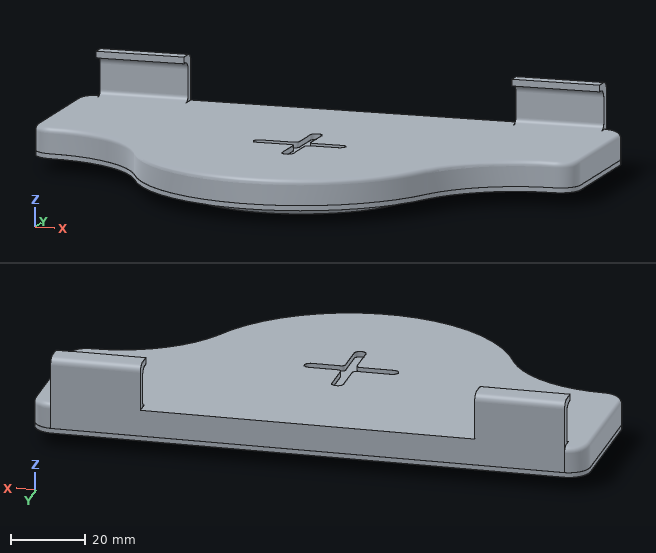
import cadquery as cq
import math

WIDTH = 154.0
LOBE_RADIUS = 45.3
BACK_Y = 45.7
LOBE_JOINT_Y = -17.9
BACK_CORNER_RADIUS = 6.0
SHOULDER_Y = 0.3
SHOULDER_RADIUS = 5.7

SHEET_THICKNESS = 1.4
TRAY_TOP = 8.8
TOP_FILLET = 1.8

HOOK_WIDTH = 25.0
HOOK_TOP = 21.7
HOOK_REACH = 6.0
HOOK_WALL = 2.5
LIP_THICKNESS = 1.8
BEND_OUTER_RADIUS = 2.3
BEND_INNER_RADIUS = 2.3
ROOT_FILLET = 1.7

SLOT_WIDTH = 3.2
SLOT_LEFT = -13.7
SLOT_RIGHT = 12.3
SLOT_HALF_LENGTH_Y = 13.9
SLOT_DEPTH = 1.5
SLOT_CORNER_FILLET = 1.1

FOOT_DIAMETER = 68.0
FOOT_HEIGHT = 3.7
FOOT_FILLET = 1.8

CENTRE_Y = (BACK_Y - LOBE_RADIUS) / 2
HALF_WIDTH = WIDTH / 2
FLANK_X = HALF_WIDTH - SHOULDER_RADIUS
LOBE_JOINT_X = math.sqrt(LOBE_RADIUS**2 - LOBE_JOINT_Y**2)
FLANK_RUN = FLANK_X - LOBE_JOINT_X
FLANK_DROP = SHOULDER_Y - LOBE_JOINT_Y
FLANK_RADIUS = (FLANK_RUN**2 + FLANK_DROP**2) / (2 * FLANK_DROP)
FLANK_CENTRE_Y = SHOULDER_Y - FLANK_RADIUS


def point_on_arc(centre, radius, angle):
    """Point at an angle in radians on a circle."""
    return (centre[0] + radius * math.cos(angle), centre[1] + radius * math.sin(angle))


def mirrored(point):
    """Point mirrored to the other side of the tray."""
    return (-point[0], point[1])


def tray_outline(height):
    """Solid of the tray outline, standing on Z = 0."""
    flank_centre = (FLANK_X, FLANK_CENTRE_Y)
    lobe_joint = (LOBE_JOINT_X, LOBE_JOINT_Y)
    flank_sweep = math.asin(FLANK_RUN / FLANK_RADIUS)
    flank_middle_angle = math.pi / 2 + flank_sweep / 2
    flank_middle = point_on_arc(flank_centre, FLANK_RADIUS, flank_middle_angle)
    flank_top = (FLANK_X, SHOULDER_Y)
    shoulder_centre = (FLANK_X, SHOULDER_Y + SHOULDER_RADIUS)
    shoulder_middle = point_on_arc(shoulder_centre, SHOULDER_RADIUS, -math.pi / 4)
    side_start = (HALF_WIDTH, SHOULDER_Y + SHOULDER_RADIUS)
    outline = (
        cq.Workplane("XY")
        .moveTo(*mirrored(lobe_joint))
        .threePointArc((0, -LOBE_RADIUS), lobe_joint)
        .threePointArc(flank_middle, flank_top)
        .threePointArc(shoulder_middle, side_start)
        .lineTo(HALF_WIDTH, BACK_Y)
        .lineTo(-HALF_WIDTH, BACK_Y)
        .lineTo(*mirrored(side_start))
        .threePointArc(mirrored(shoulder_middle), mirrored(flank_top))
        .threePointArc(mirrored(flank_middle), mirrored(lobe_joint))
        .close()
        .extrude(height)
    )
    return outline.edges("|Z and >Y").fillet(BACK_CORNER_RADIUS)


def hook(left_x):
    """Hook with a forward lip, standing on the tray top with its left side at left_x."""
    wall_y = BACK_Y - HOOK_WALL
    lip_y = BACK_Y - HOOK_REACH
    lip_bottom = HOOK_TOP - LIP_THICKNESS
    bend_centre = (BACK_Y - BEND_OUTER_RADIUS, HOOK_TOP - BEND_OUTER_RADIUS)
    inner_centre = (wall_y - BEND_INNER_RADIUS, lip_bottom - BEND_INNER_RADIUS)
    root_centre = (wall_y - ROOT_FILLET, TRAY_TOP + ROOT_FILLET)
    up_back = math.pi / 4
    profile = (
        cq.Workplane("YZ", origin=(left_x, 0, 0))
        .moveTo(BACK_Y, TRAY_TOP)
        .lineTo(BACK_Y, bend_centre[1])
        .threePointArc(point_on_arc(bend_centre, BEND_OUTER_RADIUS, up_back), (bend_centre[0], HOOK_TOP))
        .lineTo(lip_y, HOOK_TOP)
        .lineTo(lip_y, lip_bottom)
        .lineTo(inner_centre[0], lip_bottom)
        .threePointArc(point_on_arc(inner_centre, BEND_INNER_RADIUS, up_back), (wall_y, inner_centre[1]))
        .lineTo(wall_y, root_centre[1])
        .threePointArc(point_on_arc(root_centre, ROOT_FILLET, -up_back), (root_centre[0], TRAY_TOP))
        .close()
    )
    return profile.extrude(HOOK_WIDTH)


def cross_recess():
    """Cutter for the cross: two round-ended arms with rounded inner corners."""
    floor = TRAY_TOP - SLOT_DEPTH
    arm_x = (
        cq.Workplane("XY", origin=((SLOT_LEFT + SLOT_RIGHT) / 2, CENTRE_Y, floor))
        .slot2D(SLOT_RIGHT - SLOT_LEFT, SLOT_WIDTH)
        .extrude(SLOT_DEPTH)
    )
    arm_y = (
        cq.Workplane("XY", origin=(0, CENTRE_Y, floor))
        .slot2D(2 * SLOT_HALF_LENGTH_Y, SLOT_WIDTH, 90)
        .extrude(SLOT_DEPTH)
    )
    inner_corners = cq.selectors.BoxSelector(
        (-SLOT_WIDTH, CENTRE_Y - SLOT_WIDTH, floor - SLOT_DEPTH),
        (SLOT_WIDTH, CENTRE_Y + SLOT_WIDTH, TRAY_TOP + SLOT_DEPTH),
    )
    return arm_x.union(arm_y).edges("|Z").edges(inner_corners).fillet(SLOT_CORNER_FILLET)


def make_tray():
    """Tray plate with its hooks and cross recess."""
    plate_height = TRAY_TOP - SHEET_THICKNESS
    plate = tray_outline(plate_height).faces(">Z").edges().fillet(TOP_FILLET)
    plate = plate.translate((0, 0, SHEET_THICKNESS))
    back_strip = (
        cq.Workplane("XY", origin=(0, BACK_Y - HOOK_WALL, SHEET_THICKNESS))
        .box(2 * FLANK_X, HOOK_WALL, plate_height, centered=(True, False, False))
    )
    tray = plate.union(back_strip)
    for left_x in (-FLANK_X, FLANK_X - HOOK_WIDTH):
        tray = tray.union(hook(left_x))
    return tray.cut(cross_recess())


def make_base_sheet():
    """Flat sheet closing the underside of the tray."""
    return tray_outline(SHEET_THICKNESS)


def make_foot():
    """Round foot with a rounded lower rim."""
    foot = cq.Workplane("XY").center(0, CENTRE_Y).circle(FOOT_DIAMETER / 2).extrude(-FOOT_HEIGHT)
    return foot.faces("<Z").edges().fillet(FOOT_FILLET)


tray = make_tray()
base_sheet = make_base_sheet()
foot = make_foot()

result = cq.Compound.makeCompound([tray.val(), base_sheet.val(), foot.val()])